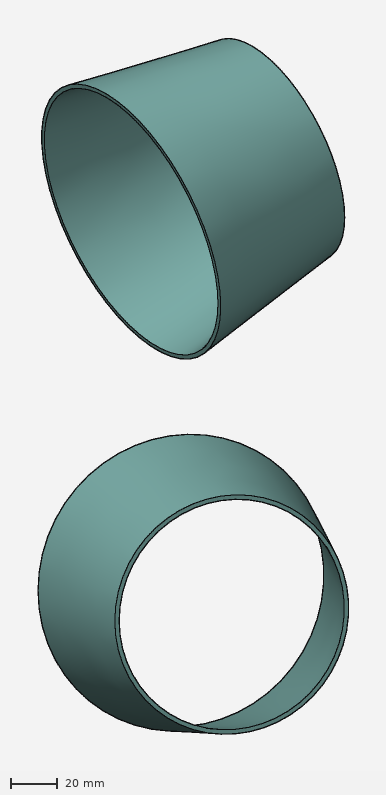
import cadquery as cq

wide_diameter = 129.0
narrow_diameter = 104.0
length = 75.0
wall = 2.0

wide_radius = wide_diameter / 2
narrow_radius = narrow_diameter / 2


def reducer_sleeve():
    """Tapered tube made by revolving its wall section about the Y axis."""
    wall_section = [
        (wide_radius - wall, 0),
        (wide_radius, 0),
        (narrow_radius, length),
        (narrow_radius - wall, length),
    ]
    return (
        cq.Workplane("XY")
        .polyline(wall_section)
        .close()
        .revolve(360, (0, 0, 0), (0, 1, 0))
    )


result = reducer_sleeve()